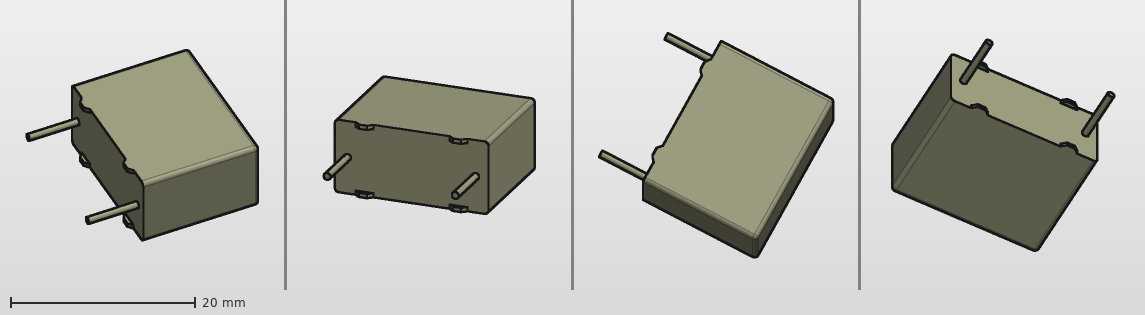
import cadquery as cq

body_width = 18.0
body_depth = 14.0
body_height = 8.5
edge_radius = 0.5

lead_diameter = 0.8
lead_length = 6.0
lead_spacing = 15.0

foot_spacing = 11.0
foot_base_width = 2.08
foot_tip_width = 0.95
foot_length = 0.48
foot_thickness = 0.5


def make_body():
    """Box with its base face at Y = 0 and every edge off that face rounded."""
    box = cq.Workplane("XY").box(body_width, body_depth, body_height, centered=(True, False, True))
    return box.edges("|Y or >Y").fillet(edge_radius)


def make_leads():
    """Two round leads running from the base face toward -Y."""
    lead_centers = [(-lead_spacing / 2, 0), (lead_spacing / 2, 0)]
    return cq.Workplane("XZ").pushPoints(lead_centers).circle(lead_diameter / 2).extrude(lead_length)


def make_foot(center_x, bottom_z):
    """Tapered standoff, wide at the base face and narrow at its tip."""
    outline = [
        (center_x - foot_base_width / 2, 0),
        (center_x - foot_tip_width / 2, -foot_length),
        (center_x + foot_tip_width / 2, -foot_length),
        (center_x + foot_base_width / 2, 0),
    ]
    return cq.Workplane("XY", origin=(0, 0, bottom_z)).polyline(outline).close().extrude(foot_thickness)


result = make_body().union(make_leads())
for foot_x in (-foot_spacing / 2, foot_spacing / 2):
    for foot_z in (-body_height / 2, body_height / 2 - foot_thickness):
        result = result.union(make_foot(foot_x, foot_z))